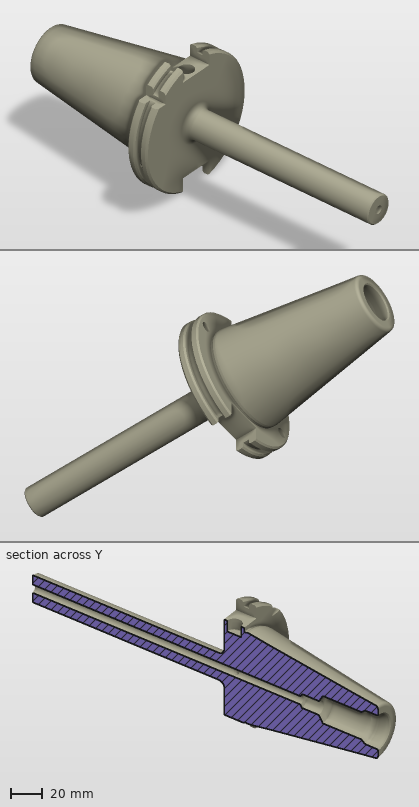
import cadquery as cq
import math

drill_point_angle = 118.0

taper_small_radius = 20.0
gauge_radius = 35.0
gauge_x = 101.3
nose_fillet = 2.5

undercut_start_x = 103.0
undercut_radius = 34.7
undercut_slope = 0.8

flange_front_x = 104.8
flange_width = 16.0
flange_radius = 48.8
flange_front_chamfer = 1.0
flange_back_chamfer = 1.4
flange_back_x = flange_front_x + flange_width

groove_radius = 44.5
groove_start_x = 110.5
groove_floor_width = 4.5
groove_flare = 1.0
groove_end_x = groove_start_x + groove_floor_width

shank_end_x = 270.8
shank_radius = 10.5
shank_chamfer = 0.8
shank_root_fillet = 4.0

mouth_radius = 13.5
pilot_radius = 12.7
pilot_depth = 9.0
seat_radius = 12.5
seat_length = 1.5
thread_radius = 10.3
thread_lead_in = 2.7
thread_depth = 43.3
drill_radius = 5.1
drill_depth = 59.5
coolant_radius = 3.0

slot_width = 25.7
top_slot_floor = 37.6
bottom_slot_floor = 35.5

notch_offset = 30.0

pocket_radius = 5.5
pocket_depth = 8.0

feed_radius = 3.5
feed_circle_radius = 42.0
feed_angle = 20.0
feed_depth = 5.5

passage_radius = 2.0


def cone_length(radius_change):
    """Axial length of a drilled cone over the given change of radius."""
    return radius_change / math.tan(math.radians(drill_point_angle / 2))


def turned_blank():
    """Taper, flange and shank revolved about the X axis."""
    outline = (
        cq.Workplane("XY")
        .moveTo(0, 0)
        .lineTo(0, taper_small_radius)
        .lineTo(gauge_x, gauge_radius)
        .lineTo(undercut_start_x, gauge_radius)
        .lineTo(undercut_start_x + undercut_slope, undercut_radius)
        .lineTo(flange_front_x, undercut_radius)
        .lineTo(flange_front_x, flange_radius - flange_front_chamfer)
        .lineTo(flange_front_x + flange_front_chamfer, flange_radius)
        .lineTo(groove_start_x - groove_flare, flange_radius)
        .lineTo(groove_start_x, flange_radius - groove_flare)
        .lineTo(groove_start_x, groove_radius)
        .lineTo(groove_end_x, groove_radius)
        .lineTo(groove_end_x, flange_radius - groove_flare)
        .lineTo(groove_end_x + groove_flare, flange_radius)
        .lineTo(flange_back_x - flange_back_chamfer, flange_radius)
        .lineTo(flange_back_x, flange_radius - flange_back_chamfer)
        .lineTo(flange_back_x, shank_radius + shank_root_fillet)
        .radiusArc((flange_back_x + shank_root_fillet, shank_radius), -shank_root_fillet)
        .lineTo(shank_end_x - shank_chamfer, shank_radius)
        .lineTo(shank_end_x, shank_radius - shank_chamfer)
        .lineTo(shank_end_x, 0)
        .close()
    )
    blank = outline.revolve(360, (0, 0, 0), (1, 0, 0))
    return blank.faces("<X").edges().fillet(nose_fillet)


def drawbar_bore():
    """Stepped bore from the small end, continuing as a coolant hole to the shank end."""
    seat_end_x = pilot_depth + seat_length
    mouth_chamfer = mouth_radius - pilot_radius
    outline = (
        cq.Workplane("XY")
        .moveTo(0, 0)
        .lineTo(0, mouth_radius)
        .lineTo(mouth_chamfer, pilot_radius)
        .lineTo(pilot_depth, pilot_radius)
        .lineTo(seat_end_x, seat_radius)
        .lineTo(seat_end_x + thread_lead_in, thread_radius)
        .lineTo(thread_depth, thread_radius)
        .lineTo(thread_depth + cone_length(thread_radius - drill_radius), drill_radius)
        .lineTo(drill_depth, drill_radius)
        .lineTo(drill_depth + cone_length(drill_radius - coolant_radius), coolant_radius)
        .lineTo(shank_end_x, coolant_radius)
        .lineTo(shank_end_x, 0)
        .close()
    )
    return outline.revolve(360, (0, 0, 0), (1, 0, 0))


def flange_cutter(y_min, y_max, z_min, z_max):
    """Block as long as the flange in X, for cutting its rim."""
    return cq.Workplane("XY").box(
        flange_width, y_max - y_min, z_max - z_min, centered=False
    ).translate((flange_front_x, y_min, z_min))


def round_pocket():
    """Blind round pocket sunk into the top slot, centred on the flange width."""
    return (
        cq.Workplane("XY", origin=(flange_front_x + flange_width / 2, 0, top_slot_floor))
        .circle(pocket_radius)
        .extrude(-pocket_depth)
    )


def feed_hole():
    """Blind drilled hole along X in the flange front face, on the +Y side."""
    bottom_x = flange_front_x + feed_depth
    outline = (
        cq.Workplane("XY")
        .moveTo(flange_front_x, 0)
        .lineTo(flange_front_x, feed_radius)
        .lineTo(bottom_x, feed_radius)
        .lineTo(bottom_x + cone_length(feed_radius), 0)
        .close()
    )
    hole = outline.revolve(360, (0, 0, 0), (1, 0, 0))
    return hole.translate((0, feed_circle_radius, 0))


def radial_passage():
    """Hole along Y from the coolant hole out through the groove floor."""
    passage_x = groove_start_x + groove_floor_width / 2
    return (
        cq.Workplane("XZ", origin=(passage_x, 0, 0))
        .circle(passage_radius)
        .extrude(-flange_radius)
    )


half_slot = slot_width / 2

result = turned_blank().cut(drawbar_bore())
result = result.cut(flange_cutter(-half_slot, half_slot, top_slot_floor, flange_radius))
result = result.cut(flange_cutter(-half_slot, half_slot, -flange_radius, -bottom_slot_floor))
result = result.cut(flange_cutter(-flange_radius, -notch_offset, notch_offset, flange_radius))
result = result.cut(round_pocket())
for hole_angle in (feed_angle, feed_angle + 180):
    feed = feed_hole().union(radial_passage())
    result = result.cut(feed.rotate((0, 0, 0), (1, 0, 0), hole_angle))